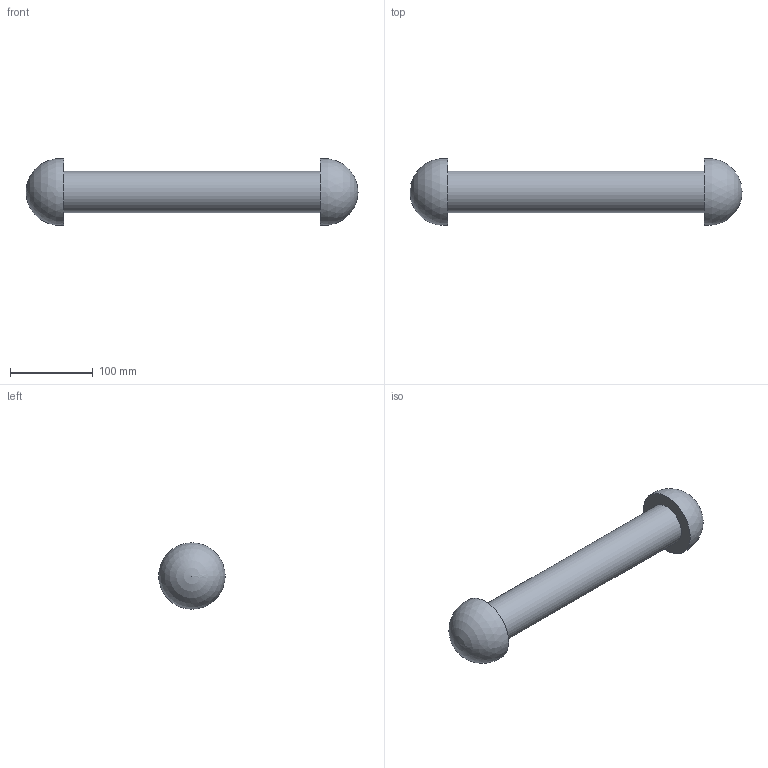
import cadquery as cq

overall_length = 400.92
shaft_length = 310.0
shaft_diameter = 50.0
head_face_diameter = 80.0

half_length = overall_length / 2
half_shaft = shaft_length / 2
shaft_radius = shaft_diameter / 2
face_radius = head_face_diameter / 2
head_height = half_length - half_shaft

sphere_radius = (face_radius**2 + head_height**2) / (2 * head_height)
sphere_center_x = half_length - sphere_radius


def make_shaft():
    """Round bar between the flat faces of the two heads."""
    half_profile = (
        cq.Workplane("XZ")
        .moveTo(-half_shaft, 0)
        .lineTo(-half_shaft, shaft_radius)
        .lineTo(half_shaft, shaft_radius)
        .lineTo(half_shaft, 0)
        .close()
    )
    return half_profile.revolve(360, (0, 0), (1, 0))


def make_head():
    """Slightly more than half a ball, flat towards the shaft, at the +X end."""
    half_profile = (
        cq.Workplane("XY")
        .moveTo(half_shaft, 0)
        .lineTo(half_shaft, -face_radius)
        .threePointArc((sphere_center_x, -sphere_radius), (half_length, 0))
        .close()
    )
    return half_profile.revolve(360, (0, 0), (1, 0))


head = make_head()
result = make_shaft().union(head).union(head.mirror("YZ"))